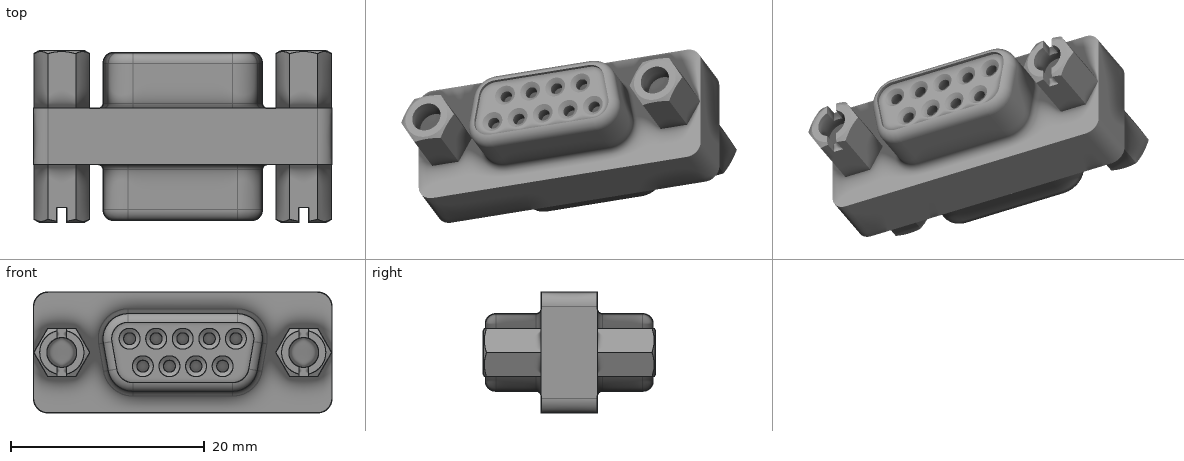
import cadquery as cq
import math

BODY_LENGTH = 30.85
BODY_DEPTH = 5.83
BODY_HEIGHT = 12.5
BODY_CORNER_RADIUS = 1.5
BODY_FACE = BODY_DEPTH / 2

SHELL_END = 8.7
SHELL_HEIGHT = 8.02
SHELL_TOP_FLAT = 11.3
SHELL_CORNER_RADIUS = 2.6
SHELL_SIDE_ANGLE = math.radians(10)
SHELL_ROOT_RADIUS = 0.5
SHELL_RIM_RADIUS = 1.15
RECESS_INSET = 0.9
RECESS_DEPTH = 0.43
ROOT_ZONE_LENGTH = 18.52
ROOT_ZONE_DEPTH = 0.05
ROOT_ZONE_HEIGHT = 9.88

CONTACT_PITCH = 2.75
CONTACT_ROW_OFFSET = 1.42
CONTACT_ROWS = ((5, CONTACT_ROW_OFFSET), (4, -CONTACT_ROW_OFFSET))
CONTACT_BORE_RADIUS = 0.62
CONTACT_BORE_DEPTH = 1.55
CONTACT_MOUTH_RADIUS = 1.08
CONTACT_MOUTH_DEPTH = 0.4

POST_TOTAL_LENGTH = 17.8
POST_END = POST_TOTAL_LENGTH / 2
POST_SPACING = 25.0
POST_FLATS = 5.0
POST_CORNER_RADIUS = POST_FLATS / math.sqrt(3)
POST_CHAMFER_RADIUS = 2.28
POST_CHAMFER_ANGLE = math.radians(30)
POST_BORE_RADIUS = 1.55
POST_BORE_DEPTH = 2.47
SLOT_WIDTH = 1.02
SLOT_DEPTH = 1.55


def front_plane(distance):
    """Plane facing -Y at the given distance in front of the centre, X right and Z up."""
    return cq.Workplane("XZ", origin=(0, -distance, 0))


def d_outline(plane, inset):
    """Rounded trapezoid on the plane, moved inward by the inset."""
    radius = SHELL_CORNER_RADIUS - inset
    centre_height = SHELL_HEIGHT / 2 - SHELL_CORNER_RADIUS
    top_x = SHELL_TOP_FLAT / 2
    bottom_x = top_x - 2 * centre_height * math.tan(SHELL_SIDE_ANGLE)

    def on_arc(side, centre_x, centre_z, angle):
        x = centre_x + radius * math.cos(angle)
        z = centre_z + radius * math.sin(angle)
        return side * x, z

    side_normal = -SHELL_SIDE_ANGLE
    top_middle = (math.pi / 2 + side_normal) / 2
    bottom_middle = (-math.pi / 2 + side_normal) / 2
    top = (top_x, centre_height)
    bottom = (bottom_x, -centre_height)
    return (
        plane.moveTo(*on_arc(-1, *top, math.pi / 2))
        .lineTo(*on_arc(1, *top, math.pi / 2))
        .threePointArc(on_arc(1, *top, top_middle), on_arc(1, *top, side_normal))
        .lineTo(*on_arc(1, *bottom, side_normal))
        .threePointArc(on_arc(1, *bottom, bottom_middle), on_arc(1, *bottom, -math.pi / 2))
        .lineTo(*on_arc(-1, *bottom, -math.pi / 2))
        .threePointArc(on_arc(-1, *bottom, bottom_middle), on_arc(-1, *bottom, side_normal))
        .lineTo(*on_arc(-1, *top, side_normal))
        .threePointArc(on_arc(-1, *top, top_middle), on_arc(-1, *top, math.pi / 2))
        .close()
    )


def make_body():
    """Housing block with rounded corners along Y."""
    block = cq.Workplane("XY").box(BODY_LENGTH, BODY_DEPTH, BODY_HEIGHT)
    return block.edges("|Y").fillet(BODY_CORNER_RADIUS)


def add_shell(part):
    """Add the front shell with its rounded rim, root fillet and shallow recess."""
    shell = d_outline(front_plane(0), 0).extrude(SHELL_END)
    shell = shell.faces("<Y").edges().fillet(SHELL_RIM_RADIUS)
    part = part.union(shell)
    root_zone = cq.selectors.BoxSelector(
        (-ROOT_ZONE_LENGTH / 2, -BODY_FACE - ROOT_ZONE_DEPTH / 2, -ROOT_ZONE_HEIGHT / 2),
        (ROOT_ZONE_LENGTH / 2, -BODY_FACE + ROOT_ZONE_DEPTH / 2, ROOT_ZONE_HEIGHT / 2),
    )
    part = part.edges(root_zone).fillet(SHELL_ROOT_RADIUS)
    recess = d_outline(front_plane(SHELL_END - RECESS_DEPTH), RECESS_INSET).extrude(RECESS_DEPTH)
    return part.cut(recess)


def contact_cutter():
    """Blind contact bores with conical mouths in the recessed front face."""
    face = SHELL_END - RECESS_DEPTH
    places = [
        ((index - (count - 1) / 2) * CONTACT_PITCH, row_z)
        for count, row_z in CONTACT_ROWS
        for index in range(count)
    ]
    bores = front_plane(face).pushPoints(places).circle(CONTACT_BORE_RADIUS).extrude(-CONTACT_BORE_DEPTH)
    for x, z in places:
        mouth = cq.Solid.makeCone(
            CONTACT_MOUTH_RADIUS,
            CONTACT_BORE_RADIUS,
            CONTACT_MOUTH_DEPTH,
            pnt=cq.Vector(x, -face, z),
            dir=cq.Vector(0, 1, 0),
        )
        bores = bores.union(cq.Workplane(mouth))
    return bores


def make_post():
    """Hexagonal post along -Y with a chamfered end and a blind bore, centred on X = 0."""
    post = front_plane(0).polygon(6, 2 * POST_CORNER_RADIUS).extrude(POST_END)
    chamfer_depth = (POST_CORNER_RADIUS - POST_CHAMFER_RADIUS) * math.tan(POST_CHAMFER_ANGLE)
    envelope = (
        cq.Workplane("XY")
        .moveTo(0, 0)
        .lineTo(POST_CORNER_RADIUS, 0)
        .lineTo(POST_CORNER_RADIUS, -POST_END + chamfer_depth)
        .lineTo(POST_CHAMFER_RADIUS, -POST_END)
        .lineTo(0, -POST_END)
        .close()
        .revolve(360, (0, 0, 0), (0, 1, 0))
    )
    bore = front_plane(POST_END).circle(POST_BORE_RADIUS).extrude(-POST_BORE_DEPTH)
    return post.intersect(envelope).cut(bore)


def cut_slot(post):
    """Cut a screwdriver slot along Z across the end of a post."""
    slot = front_plane(POST_END).rect(SLOT_WIDTH, POST_FLATS).extrude(-SLOT_DEPTH)
    return post.cut(slot)


def turn_over(part):
    """Turn half a turn about X, swapping front with back and top with bottom."""
    return part.rotate((0, 0, 0), (1, 0, 0), 180)


result = make_body()
for _ in ("front", "back"):
    result = turn_over(add_shell(result).cut(contact_cutter()))

back_post = turn_over(make_post())
front_post = cut_slot(make_post())
for post_x in (-POST_SPACING / 2, POST_SPACING / 2):
    for post in (front_post, back_post):
        result = result.union(post.translate((post_x, 0, 0)))